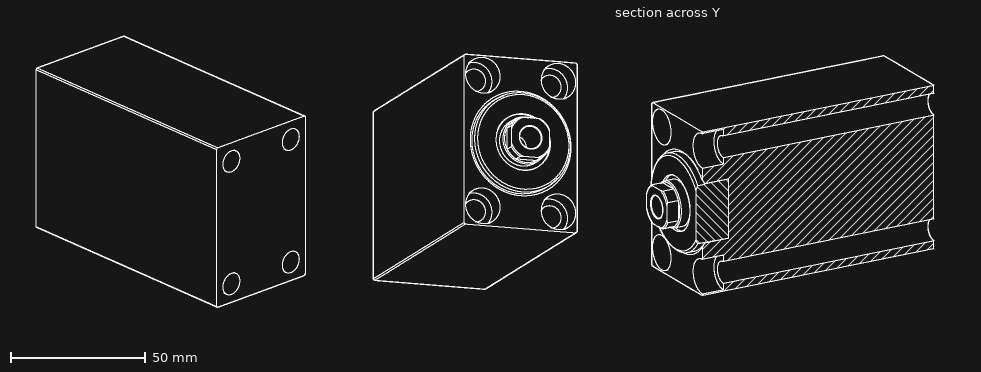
import cadquery as cq
import math

TOTAL_LENGTH = 111.0
HOUSING_LENGTH = 100.0
HOUSING_WIDTH = 45.0
HOUSING_HEIGHT = 65.0
HOUSING_EDGE_CHAMFER = 0.5
FRONT_FACE_X = TOTAL_LENGTH - HOUSING_LENGTH

HOLE_SPACING_Y = 30.0
HOLE_SPACING_Z = 50.0
HOLE_DIAMETER = 8.5
COUNTERBORE_DIAMETER = 13.7
COUNTERBORE_DEPTH = 9.0

GLAND_DIAMETER = 38.0
GLAND_PROTRUSION = 2.9
GLAND_SEAT_DEPTH = 11.1
GLAND_CHAMFER = 0.9
SEAT_CHAMFER = 1.0
WIPER_RECESS_DIAMETER = 21.5
WIPER_RECESS_DEPTH = 1.1

ROD_DIAMETER = 18.0
ROD_SHOULDER_X = 5.0
ROD_SHOULDER_CHAMFER = 0.4
TIP_DIAMETER = 17.0
TIP_ACROSS_FLATS = 15.0
TIP_CHAMFER = 0.4
ROD_HOLE_DIAMETER = 8.5
ROD_HOLE_DEPTH = 16.6
ROD_HOLE_CHAMFER = 0.2
DRILL_POINT_ANGLE = 118.0

GLAND_FACE_X = FRONT_FACE_X - GLAND_PROTRUSION
SEAT_END_X = FRONT_FACE_X + GLAND_SEAT_DEPTH


def cylinder_x(diameter, start, end):
    """Cylinder on the X axis between two X positions."""
    return cq.Workplane("YZ", origin=(start, 0, 0)).circle(diameter / 2).extrude(end - start)


def cone_x(start_diameter, end_diameter, start, end):
    """Cone or truncated cone on the X axis."""
    solid = cq.Solid.makeCone(
        start_diameter / 2, end_diameter / 2, end - start, cq.Vector(start, 0, 0), cq.Vector(1, 0, 0)
    )
    return cq.Workplane(obj=solid)


def make_housing():
    """Block with counterbored corner holes and a chamfered seat for the gland."""
    housing = (
        cq.Workplane("YZ", origin=(FRONT_FACE_X, 0, 0))
        .rect(HOUSING_WIDTH, HOUSING_HEIGHT)
        .extrude(HOUSING_LENGTH)
        .edges("|X")
        .chamfer(HOUSING_EDGE_CHAMFER)
    )
    hole_grid = (
        cq.Workplane("YZ", origin=(FRONT_FACE_X, 0, 0))
        .rect(HOLE_SPACING_Y, HOLE_SPACING_Z, forConstruction=True)
        .vertices()
    )
    housing = housing.cut(hole_grid.circle(HOLE_DIAMETER / 2).extrude(HOUSING_LENGTH))
    housing = housing.cut(hole_grid.circle(COUNTERBORE_DIAMETER / 2).extrude(COUNTERBORE_DEPTH))
    housing = housing.cut(cylinder_x(GLAND_DIAMETER, FRONT_FACE_X, SEAT_END_X))
    seat_mouth = GLAND_DIAMETER + 2 * SEAT_CHAMFER
    return housing.cut(cone_x(seat_mouth, GLAND_DIAMETER, FRONT_FACE_X, FRONT_FACE_X + SEAT_CHAMFER))


def make_gland():
    """Chamfered ring with a bore for the rod and a shallow wiper recess around it."""
    gland = cylinder_x(GLAND_DIAMETER, GLAND_FACE_X, SEAT_END_X).faces("<X").chamfer(GLAND_CHAMFER)
    gland = gland.cut(cylinder_x(ROD_DIAMETER, GLAND_FACE_X, SEAT_END_X))
    recess_end = GLAND_FACE_X + WIPER_RECESS_DEPTH
    return gland.cut(cylinder_x(WIPER_RECESS_DIAMETER, GLAND_FACE_X, recess_end))


def make_tip():
    """Square wrench tip whose corners are cut to a round."""
    square = cq.Workplane("YZ").rect(TIP_ACROSS_FLATS, TIP_ACROSS_FLATS).extrude(ROD_SHOULDER_X)
    tip = cylinder_x(TIP_DIAMETER, 0, ROD_SHOULDER_X).faces("<X").chamfer(TIP_CHAMFER)
    return tip.intersect(square)


def make_rod():
    """Round shank and wrench tip with a drilled hole in the end; the shank ends flush with the gland."""
    shank = cylinder_x(ROD_DIAMETER, ROD_SHOULDER_X, SEAT_END_X).faces("<X").chamfer(ROD_SHOULDER_CHAMFER)
    rod = shank.union(make_tip())
    rod = rod.cut(cylinder_x(ROD_HOLE_DIAMETER, 0, ROD_HOLE_DEPTH))
    point_length = ROD_HOLE_DIAMETER / 2 / math.tan(math.radians(DRILL_POINT_ANGLE / 2))
    rod = rod.cut(cone_x(ROD_HOLE_DIAMETER, 0, ROD_HOLE_DEPTH, ROD_HOLE_DEPTH + point_length))
    mouth = ROD_HOLE_DIAMETER + 2 * ROD_HOLE_CHAMFER
    return rod.cut(cone_x(mouth, ROD_HOLE_DIAMETER, 0, ROD_HOLE_CHAMFER))


housing = make_housing()
gland = make_gland()
rod = make_rod()

result = cq.Compound.makeCompound([housing.val(), gland.val(), rod.val()])